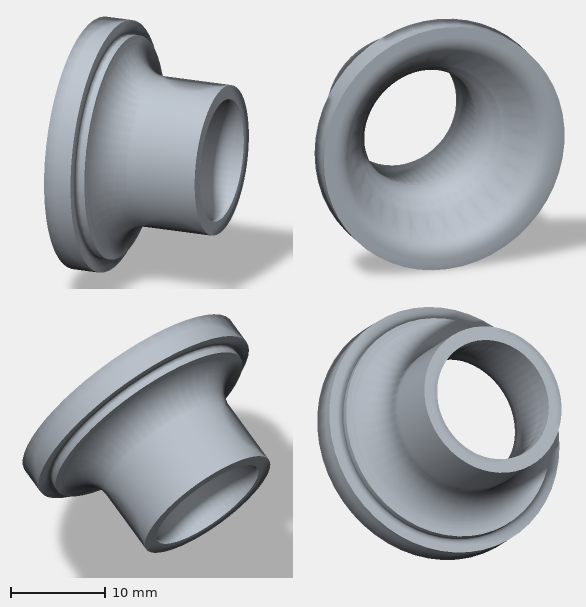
import cadquery as cq
import math

total_length = 15.0
flange_thickness = 3.0
collar_end = 4.0

flange_radius = 27.0 / 2
collar_radius = 24.0 / 2
neck_radius = 16.1 / 2
collar_fillet = 0.1
neck_fillet = 3.5

bore_radius = 13.1 / 2
mouth_radius = 12.25
mouth_round = 2.0
throat_blend = 6.0
cone_half_angle = math.radians(39.0)

cone_start_x = mouth_round * (1 - math.sin(cone_half_angle))
cone_start_radius = mouth_radius - mouth_round * math.cos(cone_half_angle)
cone_end_radius = bore_radius + throat_blend * (1 - math.cos(cone_half_angle))
cone_end_x = cone_start_x + (cone_start_radius - cone_end_radius) / math.tan(cone_half_angle)
bore_start_x = cone_end_x + throat_blend * math.sin(cone_half_angle)


def point_on_arc(center, radius, angle):
    """Point at the given angle on a circle in the (x, radial distance) half plane."""
    return (center[0] + radius * math.cos(angle), center[1] + radius * math.sin(angle))


def revolve_about_x(profile):
    """Full turn of a closed (x, radial distance) profile about the X axis."""
    return profile.close().revolve(360, (0, 0), (1, 0))


def add_corner_fillet(profile, shoulder_x, inner_radius, fillet):
    """Extend the profile down a shoulder and around its concave quarter-round foot."""
    start = (shoulder_x, inner_radius + fillet)
    end = (shoulder_x + fillet, inner_radius)
    middle = point_on_arc((end[0], start[1]), fillet, math.radians(225))
    return profile.lineTo(*start).threePointArc(middle, end)


def make_body():
    """Solid outer shape: flange, collar and neck, each step with a fillet at its foot."""
    profile = cq.Workplane("XY").lineTo(0, flange_radius).lineTo(flange_thickness, flange_radius)
    profile = add_corner_fillet(profile, flange_thickness, collar_radius, collar_fillet)
    profile = profile.lineTo(collar_end, collar_radius)
    profile = add_corner_fillet(profile, collar_end, neck_radius, neck_fillet)
    profile = profile.lineTo(total_length, neck_radius).lineTo(total_length, 0)
    return revolve_about_x(profile)


def make_passage():
    """Solid filling the flared passage from the mouth face to the neck end."""
    mouth_center = (mouth_round, mouth_radius)
    mouth_middle_angle = math.pi + (math.pi / 2 - cone_half_angle) / 2
    mouth_middle = point_on_arc(mouth_center, mouth_round, mouth_middle_angle)
    throat_center = (bore_start_x, bore_radius + throat_blend)
    throat_middle_angle = -math.pi / 2 - cone_half_angle / 2
    throat_middle = point_on_arc(throat_center, throat_blend, throat_middle_angle)
    profile = (
        cq.Workplane("XY")
        .lineTo(0, mouth_radius)
        .threePointArc(mouth_middle, (cone_start_x, cone_start_radius))
        .lineTo(cone_end_x, cone_end_radius)
        .threePointArc(throat_middle, (bore_start_x, bore_radius))
        .lineTo(total_length, bore_radius)
        .lineTo(total_length, 0)
    )
    return revolve_about_x(profile)


result = make_body().cut(make_passage())